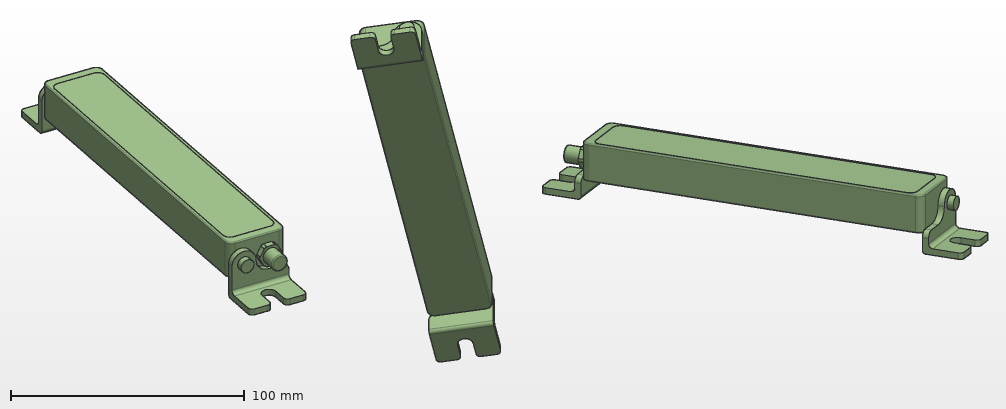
import cadquery as cq
import math

total_length = 198.0
width = 28.1
total_height = 26.1

body_length = 160.4
body_height = 17.2
body_corner_radius = 3.2
body_edge_radius = 0.55
body_bottom = total_height - body_height
body_end = body_length / 2

window_margin_x = 4.5
window_margin_y = 1.8
window_corner_radius = 3.4
window_depth = 0.1

sheet = 3.0
bend_inner_radius = 2.0
bend_outer_radius = 1.5
bracket_end = total_length / 2
plate_outer = body_end + sheet
ear_radius = 6.0
ear_y = ear_radius - width / 2
ear_z = 16.5
shoulder_z = 10.3
shoulder_corner_radius = 3.0
neck_radius = ear_z - shoulder_z
slot_width = 6.7
slot_length = 11.9
flange_corner_radius = 2.0

pin_diameter = 6.3
pin_protrusion = 3.0

connector_y = 5.1
connector_z = ear_z
connector_diameter = 7.7
connector_end = 90.9
connector_edge_radius = 0.5
nut_across_flats = 9.9
nut_corner_diameter = 10.7
nut_length = sheet
nut_circumdiameter = nut_across_flats / math.cos(math.pi / 6)


def make_body():
    """Housing block with rounded corners, softened rims and a slightly sunk window."""
    body = (
        cq.Workplane("XY", origin=(0, 0, body_bottom))
        .rect(body_length, width)
        .extrude(body_height)
        .edges("|Z").fillet(body_corner_radius)
        .faces("<Z or >Z").edges().fillet(body_edge_radius)
    )
    window = (
        cq.Workplane("XY", origin=(0, 0, total_height - window_depth))
        .rect(body_length - 2 * window_margin_x, width - 2 * window_margin_y)
        .extrude(window_depth)
        .edges("|Z").fillet(window_corner_radius)
    )
    return body.cut(window)


def make_angle():
    """Sheet bent into an L, extruded across the full width."""
    inner_bend = cq.selectors.NearestToPointSelector((plate_outer, 0, sheet))
    outer_bend = cq.selectors.NearestToPointSelector((body_end, 0, 0))
    return (
        cq.Workplane("XZ", origin=(0, width / 2, 0))
        .moveTo(body_end, 0)
        .lineTo(bracket_end, 0)
        .lineTo(bracket_end, sheet)
        .lineTo(plate_outer, sheet)
        .lineTo(plate_outer, total_height)
        .lineTo(body_end, total_height)
        .close()
        .extrude(width)
        .edges(inner_bend).fillet(bend_inner_radius)
        .edges(outer_bend).fillet(bend_outer_radius)
    )


def make_plate_outline():
    """Upright plate outline: an ear on the -Y side sweeping down to a low shoulder."""
    neck_y = ear_y + ear_radius
    diagonal = math.cos(math.pi / 4)
    neck_center_y = neck_y + neck_radius
    shoulder_center_y = width / 2 - shoulder_corner_radius
    shoulder_center_z = shoulder_z - shoulder_corner_radius
    return (
        cq.Workplane("YZ", origin=(body_end, 0, 0))
        .moveTo(-width / 2, 0)
        .lineTo(-width / 2, ear_z)
        .threePointArc((ear_y, ear_z + ear_radius), (neck_y, ear_z))
        .threePointArc(
            (neck_center_y - neck_radius * diagonal, ear_z - neck_radius * diagonal),
            (neck_center_y, shoulder_z),
        )
        .lineTo(shoulder_center_y, shoulder_z)
        .threePointArc(
            (
                shoulder_center_y + shoulder_corner_radius * diagonal,
                shoulder_center_z + shoulder_corner_radius * diagonal,
            ),
            (width / 2, shoulder_center_z),
        )
        .lineTo(width / 2, 0)
        .close()
        .extrude(bracket_end - body_end)
    )


def make_flange_outline():
    """Foot outline: rounded corners and an open slot with rounded mouth."""
    slot_center_x = bracket_end - slot_length + slot_width / 2
    base = cq.Workplane("XY")
    foot = (
        base.center((body_end + bracket_end) / 2, 0)
        .rect(bracket_end - body_end, width)
        .extrude(total_height)
    )
    slot_end = base.center(slot_center_x, 0).circle(slot_width / 2).extrude(total_height)
    slot_mouth = (
        base.center((slot_center_x + bracket_end) / 2, 0)
        .rect(bracket_end - slot_center_x, slot_width)
        .extrude(total_height)
    )
    slotted = foot.cut(slot_end).cut(slot_mouth)
    return slotted.faces(">X").edges("|Z").fillet(flange_corner_radius)


def make_bracket():
    """Complete +X bracket with its pivot pin."""
    bracket = make_angle().intersect(make_plate_outline()).intersect(make_flange_outline())
    pin = (
        cq.Workplane("YZ", origin=(body_end, ear_y, ear_z))
        .circle(pin_diameter / 2)
        .extrude(sheet + pin_protrusion)
    )
    return bracket.union(pin)


def make_connector():
    """Round plug behind a hex nut whose corners are turned down."""
    base = cq.Workplane("YZ", origin=(body_end, connector_y, connector_z))
    nut = (
        base.polygon(6, nut_circumdiameter)
        .extrude(nut_length)
        .intersect(base.circle(nut_corner_diameter / 2).extrude(nut_length))
    )
    plug = (
        base.circle(connector_diameter / 2)
        .extrude(connector_end - body_end)
        .faces(">X").edges().fillet(connector_edge_radius)
    )
    return nut.union(plug)


bracket = make_bracket()
result = make_body().union(bracket).union(bracket.mirror("YZ")).union(make_connector())